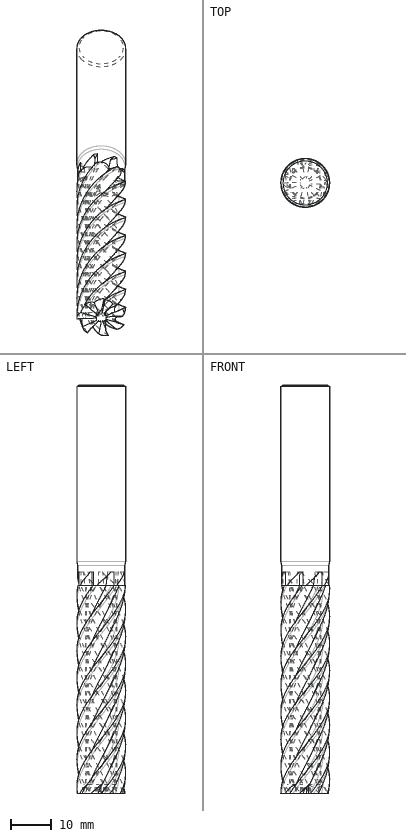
import cadquery as cq
import math

tool_length = 100.0
tool_radius = 6.0

cutter_length = 51.0
neck_bottom = cutter_length
neck_top = 55.8
shank_bottom = 56.8
neck_radius = 5.8
top_chamfer_width = 0.6
top_chamfer_height = 0.4

tooth_count = 7
tooth_pitch = 360.0 / tooth_count
helix_lead = 46.7
top_tooth_angle = -45.0
cutter_twist = 360.0 * cutter_length / helix_lead
bottom_tooth_angle = top_tooth_angle - cutter_twist

land_angle = 8.0
land_end_radius = 5.9
land_middle_radius = (tool_radius + land_end_radius) / 2
back_middle_angle = 24.0
back_middle_radius = 5.3
back_end_angle = 38.0
back_end_radius = 3.9
floor_middle_angle = 46.0
floor_middle_radius = 3.7
rake_root_angle = 53.0
rake_root_radius = 4.4

runout_height = 3.2
runout_rake_angle = -6.0
runout_bottom_back_angle = 50.0
runout_bottom_root_angle = 15.0
runout_bottom_root_radius = 4.0
runout_top_back_angle = 8.0
runout_top_root_angle = 11.0
runout_top_root_radius = 4.4

gash_height = 2.2
gash_inner_radius = 1.2
gash_inner_width = 0.8
gash_outer_width = 3.6

cut_clearance = 1.0
cut_radius = tool_radius + cut_clearance


def polar(radius, angle):
    """Point in the XY plane at an angle in degrees."""
    return radius * math.cos(math.radians(angle)), radius * math.sin(math.radians(angle))


def ruled_cutter(lower_points, upper_points):
    """Solid with straight walls between two closed outlines of 3D points."""
    wires = [
        cq.Wire.makePolygon([cq.Vector(*point) for point in points], close=True)
        for points in (lower_points, upper_points)
    ]
    return cq.Solid.makeLoft(wires, True)


def tooth_angles(first_angle):
    """Angle of every tooth, starting from the first."""
    return [first_angle + i * tooth_pitch for i in range(tooth_count)]


def make_shank_blank():
    """Turned shank and neck, made as one profile in the YZ plane."""
    return (
        cq.Workplane("YZ")
        .moveTo(0, neck_bottom)
        .lineTo(-neck_radius, neck_bottom)
        .lineTo(-neck_radius, neck_top)
        .lineTo(-tool_radius, shank_bottom)
        .lineTo(-tool_radius, tool_length - top_chamfer_height)
        .lineTo(-tool_radius + top_chamfer_width, tool_length)
        .lineTo(0, tool_length)
        .close()
        .revolve(360, (0, 0, 0), (0, 1, 0))
    )


def make_runout(edge_angle):
    """V groove that ends one flute in the neck."""

    def section(back_angle, root_angle, root_radius, z):
        corners = [
            polar(cut_radius, edge_angle - back_angle),
            polar(root_radius, edge_angle - root_angle),
            polar(cut_radius, edge_angle - runout_rake_angle),
        ]
        return [(x, y, z) for x, y in corners]

    return ruled_cutter(
        section(
            runout_bottom_back_angle,
            runout_bottom_root_angle,
            runout_bottom_root_radius,
            neck_bottom,
        ),
        section(
            runout_top_back_angle,
            runout_top_root_angle,
            runout_top_root_radius,
            neck_bottom + runout_height,
        ),
    )


def make_shank():
    runouts = [make_runout(angle) for angle in tooth_angles(top_tooth_angle)]
    return cq.Workplane(make_shank_blank().val().cut(*runouts).Solids()[0])


def make_fluted_cutter():
    """Toothed cross-section, twisted along the axis."""
    profile = cq.Workplane("XY").moveTo(*polar(tool_radius, bottom_tooth_angle))
    for angle in tooth_angles(bottom_tooth_angle):
        profile = (
            profile.threePointArc(
                polar(land_middle_radius, angle + land_angle / 2),
                polar(land_end_radius, angle + land_angle),
            )
            .threePointArc(
                polar(back_middle_radius, angle + back_middle_angle),
                polar(back_end_radius, angle + back_end_angle),
            )
            .threePointArc(
                polar(floor_middle_radius, angle + floor_middle_angle),
                polar(rake_root_radius, angle + rake_root_angle),
            )
            .lineTo(*polar(tool_radius, angle + tooth_pitch))
        )
    return profile.close().twistExtrude(cutter_length, cutter_twist)


def make_gash(edge_angle):
    """Wedge cut into the end face along one cutting edge, widening outward."""
    plane = cq.Plane((0, 0, 0), xDir=(*polar(1, edge_angle), 0), normal=(0, 0, 1))

    def section(radius, width):
        corners = [(radius, 0, 0), (radius, 0, gash_height), (radius, -width, 0)]
        return [plane.toWorldCoords(corner).toTuple() for corner in corners]

    return ruled_cutter(
        section(gash_inner_radius, gash_inner_width),
        section(cut_radius, gash_outer_width),
    )


def make_cutter():
    gashes = [make_gash(angle) for angle in tooth_angles(bottom_tooth_angle)]
    return cq.Workplane(make_fluted_cutter().val().cut(*gashes).Solids()[0])


shank = make_shank()
cutter = make_cutter()

result = cq.Compound.makeCompound([shank.val(), cutter.val()])